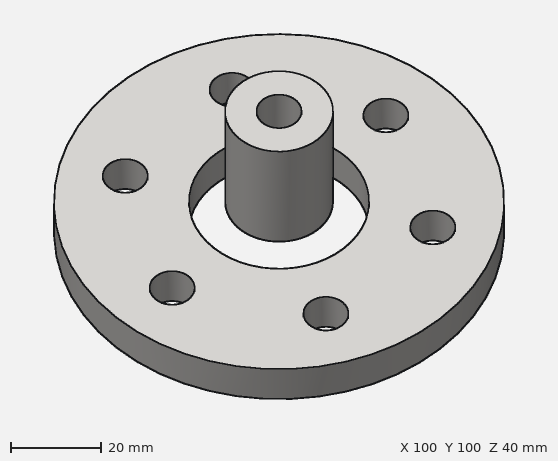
import cadquery as cq

flange_diameter = 100
flange_thickness = 10
flange_bore_diameter = 40

bolt_hole_count = 6
bolt_hole_diameter = 10
bolt_circle_diameter = 70

post_diameter = 24
post_height = 30
post_bore_diameter = 10


def make_flange():
    """Flat ring with a central bore and a circle of through holes."""
    ring = (
        cq.Workplane("XY")
        .circle(flange_diameter / 2)
        .circle(flange_bore_diameter / 2)
        .extrude(flange_thickness)
    )
    bolt_holes = (
        cq.Workplane("XY")
        .polarArray(bolt_circle_diameter / 2, 0, 360, bolt_hole_count)
        .circle(bolt_hole_diameter / 2)
        .extrude(flange_thickness)
    )
    return ring.cut(bolt_holes)


def make_post():
    """Tube whose lower end is level with the top face of the flange."""
    return (
        cq.Workplane("XY")
        .workplane(offset=flange_thickness)
        .circle(post_diameter / 2)
        .circle(post_bore_diameter / 2)
        .extrude(post_height)
    )


flange = make_flange()
post = make_post()

result = cq.Compound.makeCompound([flange.val(), post.val()])